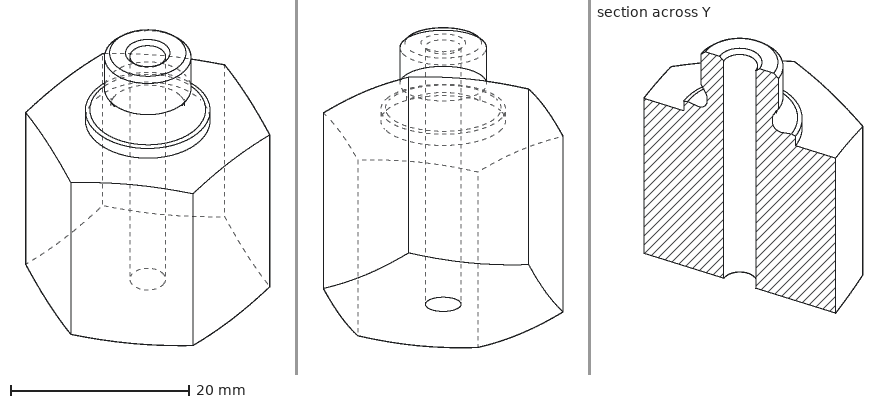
import cadquery as cq
import math

hex_sides = 6
across_flats = 24.0
hex_height = 22.5
corner_chamfer_angle = 15.0
hex_half_angle = 180.0 / hex_sides
across_corners = across_flats / math.cos(math.radians(hex_half_angle))

flange_diameter = 14.0
ridge_diameter = 13.0
ridge_top = 24.0
outer_face_drop = 0.13
inner_face_angle = 10.0

total_height = 32.0
stud_diameter = 9.73
stud_chamfer = 0.58
stud_bottom = 27.0
groove_diameter = 8.3
groove_fillet = 1.0
thread_runout_angle = 30.0
bore_diameter = 4.0
bore_mouth_diameter = 5.0


def revolve_profile(profile):
    """Turn a closed (radius, height) profile about the Z axis."""
    return profile.close().revolve(360, (0, 0, 0), (0, 1, 0))


def make_hex_body():
    """Hexagon with corners on the Y axis, both ends turned conical."""
    hexagon = (
        cq.Workplane("XY")
        .polygon(hex_sides, across_corners)
        .extrude(hex_height)
        .rotate((0, 0, 0), (0, 0, 1), hex_half_angle)
    )
    flat_radius = across_flats / 2
    corner_radius = across_corners / 2
    drop = (corner_radius - flat_radius) * math.tan(math.radians(corner_chamfer_angle))
    envelope = revolve_profile(
        cq.Workplane("XZ")
        .moveTo(0, 0)
        .lineTo(flat_radius, 0)
        .lineTo(corner_radius, drop)
        .lineTo(corner_radius, hex_height - drop)
        .lineTo(flat_radius, hex_height)
        .lineTo(0, hex_height)
    )
    return hexagon.intersect(envelope)


def make_stud():
    """Ridged flange, filleted undercut and chamfered stud, turned in one profile."""
    flange_radius = flange_diameter / 2
    ridge_radius = ridge_diameter / 2
    groove_radius = groove_diameter / 2
    stud_radius = stud_diameter / 2
    fillet_center_radius = groove_radius + groove_fillet

    face_angle = math.radians(inner_face_angle)
    face_end_radius = fillet_center_radius + groove_fillet * math.sin(face_angle)
    face_end_height = ridge_top - (ridge_radius - face_end_radius) * math.tan(face_angle)
    lower_center_height = face_end_height + groove_fillet * math.cos(face_angle)
    diagonal = groove_fillet * math.sqrt(0.5)

    runout_angle = math.radians(thread_runout_angle)
    runout_radius = fillet_center_radius - groove_fillet * math.cos(runout_angle)
    runout_height = stud_bottom - (stud_radius - runout_radius) / math.tan(runout_angle)
    upper_center_height = runout_height - groove_fillet * math.sin(runout_angle)
    half_angle = runout_angle / 2

    return revolve_profile(
        cq.Workplane("XZ")
        .moveTo(0, hex_height)
        .lineTo(flange_radius, hex_height)
        .lineTo(flange_radius, ridge_top - outer_face_drop)
        .lineTo(ridge_radius, ridge_top)
        .lineTo(face_end_radius, face_end_height)
        .threePointArc(
            (fillet_center_radius - diagonal, lower_center_height - diagonal),
            (groove_radius, lower_center_height),
        )
        .lineTo(groove_radius, upper_center_height)
        .threePointArc(
            (
                fillet_center_radius - groove_fillet * math.cos(half_angle),
                upper_center_height + groove_fillet * math.sin(half_angle),
            ),
            (runout_radius, runout_height),
        )
        .lineTo(stud_radius, stud_bottom)
        .lineTo(stud_radius, total_height - stud_chamfer)
        .lineTo(stud_radius - stud_chamfer, total_height)
        .lineTo(0, total_height)
    )


def make_bore():
    """Through bore with a 45 degree countersink at the stud end."""
    bore_radius = bore_diameter / 2
    mouth_radius = bore_mouth_diameter / 2
    return revolve_profile(
        cq.Workplane("XZ")
        .moveTo(0, 0)
        .lineTo(bore_radius, 0)
        .lineTo(bore_radius, total_height - (mouth_radius - bore_radius))
        .lineTo(mouth_radius, total_height)
        .lineTo(0, total_height)
    )


result = make_hex_body().union(make_stud()).cut(make_bore())